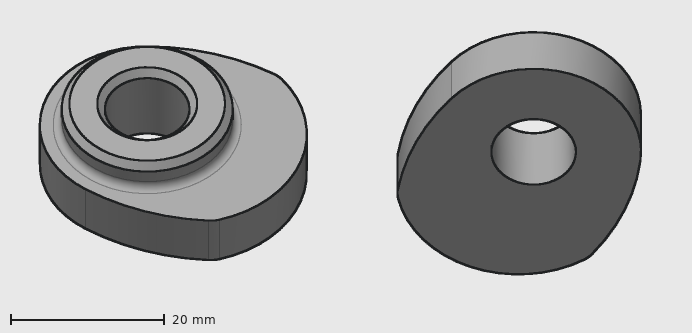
import cadquery as cq
import math

plate_height = 7.53
small_lobe_radius = 13.95
large_lobe_radius = 15.95
lobe_distance = 5.02
lobe_direction = 45.0
flank_radius = 31.1
corner_radius = 4.0

total_height = 11.55
boss_radius = 11.1
boss_chamfer = 1.0
boss_root_fillet = 1.1

bore_radius = 5.5
bore_chamfer = 1.0


def make_plate():
    """Plate with its lobes along X, turned to the lobe direction at the end."""
    center_distance = flank_radius - small_lobe_radius
    flank_offset = math.sqrt(center_distance**2 - lobe_distance**2)

    tangent_x = -lobe_distance * small_lobe_radius / center_distance
    tangent_y = flank_offset * small_lobe_radius / center_distance

    corner_y = (flank_radius**2 - large_lobe_radius**2 - flank_offset**2) / (2 * flank_offset)
    corner_x = lobe_distance + math.sqrt(large_lobe_radius**2 - corner_y**2)

    flank_top_y = flank_radius - flank_offset
    large_lobe_end_x = lobe_distance + large_lobe_radius
    plate = (
        cq.Workplane("XY")
        .moveTo(tangent_x, tangent_y)
        .threePointArc((lobe_distance, flank_top_y), (corner_x, corner_y))
        .threePointArc((large_lobe_end_x, 0), (corner_x, -corner_y))
        .threePointArc((lobe_distance, -flank_top_y), (tangent_x, -tangent_y))
        .threePointArc((-small_lobe_radius, 0), (tangent_x, tangent_y))
        .close()
        .extrude(plate_height)
    )
    large_lobe_side = cq.selectors.BoxSelector(
        (lobe_distance, -large_lobe_radius, 0), (large_lobe_end_x, large_lobe_radius, plate_height)
    )
    plate = plate.edges("|Z").edges(large_lobe_side).fillet(corner_radius)
    return plate.rotate((0, 0, 0), (0, 0, 1), lobe_direction)


def make_boss():
    """Boss starting at the plate underside, chamfered around its top rim."""
    return cq.Workplane("XY").circle(boss_radius).extrude(total_height).faces(">Z").chamfer(boss_chamfer)


def make_root_fillet():
    """Concave ring blending the boss wall into the plate top."""
    outer_radius = boss_radius + boss_root_fillet
    fillet_top = plate_height + boss_root_fillet
    arc_inset = boss_root_fillet * (1 - math.sqrt(0.5))
    return (
        cq.Workplane("XZ")
        .moveTo(0, plate_height)
        .lineTo(outer_radius, plate_height)
        .threePointArc((boss_radius + arc_inset, plate_height + arc_inset), (boss_radius, fillet_top))
        .lineTo(0, fillet_top)
        .close()
        .revolve(360, (0, 0, 0), (0, 1, 0))
    )


def make_bore():
    """Cutter for the through bore with its countersunk upper rim."""
    mouth_radius = bore_radius + bore_chamfer
    return (
        cq.Workplane("XZ")
        .lineTo(bore_radius, 0)
        .lineTo(bore_radius, total_height - bore_chamfer)
        .lineTo(mouth_radius, total_height)
        .lineTo(0, total_height)
        .close()
        .revolve(360, (0, 0, 0), (0, 1, 0))
    )


result = make_plate().union(make_boss()).union(make_root_fillet()).cut(make_bore())